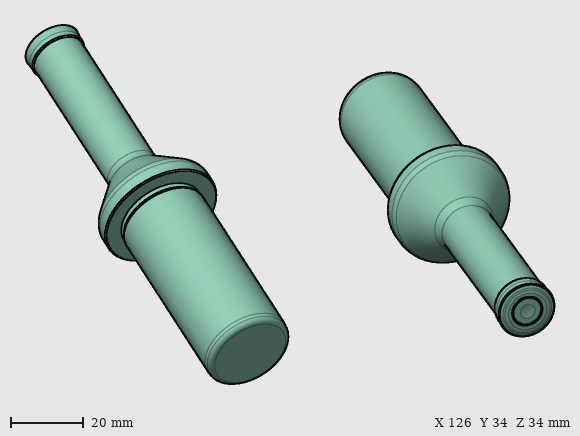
import cadquery as cq
import math

total_length = 126.0

head_length = 5.0
head_tip_radius = 5.5
head_land_inner_radius = 6.5
head_land_inner_x = 0.1
head_land_outer_radius = 7.0
head_land_outer_x = 0.3
head_face_rim_radius = 7.8
head_face_rim_x = 0.5
head_edge_diameter = 16.3
head_edge_x = 0.8
head_relief_end_x = 3.0
head_body_radius = 8.0
head_back_chamfer = 0.4

face_groove_inner_radius = 4.0
face_groove_outer_radius = 4.4
face_groove_depth = 0.4
dimple_radius = 2.1
dimple_depth = 0.3

neck_radius = 15.0 / 2
flare_blend_start_x = 51.3
flare_angle = math.radians(38.2)
flare_blend_radius = 5.0
flange_radius = 34.0 / 2
flange_edge_radius = 3.0
flange_edge_x = 66.2
flange_back_x = 69.9
flange_back_chamfer = 0.4
shank_radius = 25.0 / 2
undercut_radius = 24.5 / 2
undercut_end_x = 71.5
undercut_ramp_length = 0.8
shank_round_radius = 1.5
shank_end_taper_length = 1.1
shank_end_taper_drop = 0.1


def revolve_about_x(profile):
    """Turn a closed profile, drawn as (x, radius), about the X axis."""
    return profile.close().revolve(360, (0, 0, 0), (1, 0, 0))


def make_head():
    disc = revolve_about_x(
        cq.Workplane("XY")
        .moveTo(dimple_depth, 0)
        .lineTo(0, dimple_radius)
        .lineTo(0, head_tip_radius)
        .lineTo(head_land_inner_x, head_land_inner_radius)
        .lineTo(head_land_outer_x, head_land_outer_radius)
        .lineTo(head_face_rim_x, head_face_rim_radius)
        .lineTo(head_edge_x, head_edge_diameter / 2)
        .lineTo(head_relief_end_x, head_body_radius)
        .lineTo(head_length - head_back_chamfer, head_body_radius)
        .lineTo(head_length, head_body_radius - head_back_chamfer)
        .lineTo(head_length, 0)
    )
    face_groove = (
        cq.Workplane("YZ")
        .circle(face_groove_outer_radius)
        .circle(face_groove_inner_radius)
        .extrude(face_groove_depth)
    )
    return disc.cut(face_groove)


def arc_offset(radius, angle):
    """Axial and radial travel along an arc that leaves the X direction by the angle."""
    return radius * math.sin(angle), radius * (1 - math.cos(angle))


def make_holder():
    blend_dx, blend_dr = arc_offset(flare_blend_radius, flare_angle)
    blend_mid_dx, blend_mid_dr = arc_offset(flare_blend_radius, flare_angle / 2)
    edge_dx, edge_dr = arc_offset(flange_edge_radius, flare_angle)
    edge_mid_dx, edge_mid_dr = arc_offset(flange_edge_radius, flare_angle / 2)
    end_radius = shank_radius - shank_end_taper_drop
    round_start_x = total_length - shank_round_radius
    round_mid = shank_round_radius * math.sqrt(0.5)
    round_center_r = end_radius - shank_round_radius

    return revolve_about_x(
        cq.Workplane("XY")
        .moveTo(head_length, 0)
        .lineTo(head_length, neck_radius)
        .lineTo(flare_blend_start_x, neck_radius)
        .threePointArc(
            (flare_blend_start_x + blend_mid_dx, neck_radius + blend_mid_dr),
            (flare_blend_start_x + blend_dx, neck_radius + blend_dr),
        )
        .lineTo(flange_edge_x - edge_dx, flange_radius - edge_dr)
        .threePointArc(
            (flange_edge_x - edge_mid_dx, flange_radius - edge_mid_dr),
            (flange_edge_x, flange_radius),
        )
        .lineTo(flange_back_x - flange_back_chamfer, flange_radius)
        .lineTo(flange_back_x, flange_radius - flange_back_chamfer)
        .lineTo(flange_back_x, undercut_radius)
        .lineTo(undercut_end_x, undercut_radius)
        .lineTo(undercut_end_x + undercut_ramp_length, shank_radius)
        .lineTo(round_start_x - shank_end_taper_length, shank_radius)
        .lineTo(round_start_x, end_radius)
        .threePointArc(
            (round_start_x + round_mid, round_center_r + round_mid),
            (total_length, round_center_r),
        )
        .lineTo(total_length, 0)
    )


head = make_head()
holder = make_holder()

result = cq.Compound.makeCompound([head.val(), holder.val()])